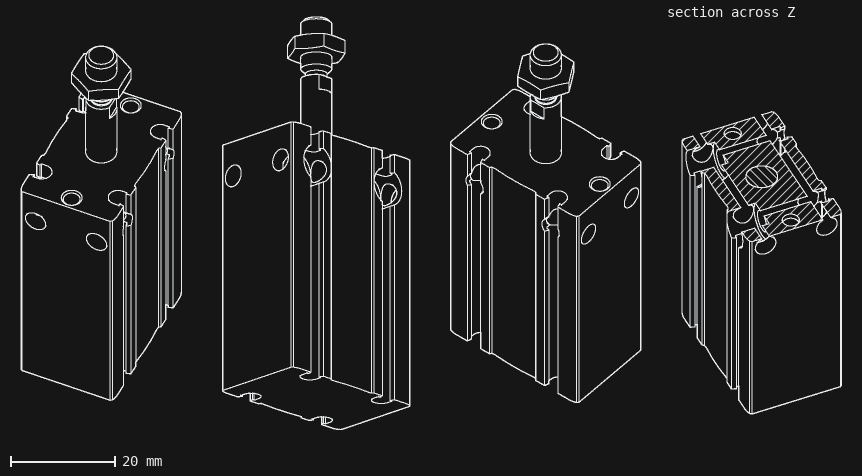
import cadquery as cq
import math

TOTAL_HEIGHT = 77.0
HOUSING_HEIGHT = 50.05

HALF_WIDTH = 10.0
HALF_LENGTH = 16.0
END_FLAT_X = 9.3
CORNER_X = 9.7
CORNER_Y = 15.7
FLANK_Y = 14.1
RELIEF_TOP_Y = 5.8
RELIEF_FOOT_X = 9.6
RELIEF_FOOT_Y = 5.5
CROWN_EDGE_X = 9.55
CROWN_EDGE_Y = 4.85
CROWN_MIDDLE_X = 9.8

SLOT_Y = 9.6
SLOT_WIDTH = 3.7
SLOT_BOTTOM_X = 6.15
SLOT_LIP_X = 9.1
SLOT_MOUTH_WIDTH = 3.3
SLOT_THROAT_WIDTH = 2.7

CROSS_HOLE_DIAMETER = 4.3
CROSS_HOLE_DROP = 7.0
CROSS_HOLE_Z = HOUSING_HEIGHT - CROSS_HOLE_DROP
END_HOLE_X = 6.5
SIDE_HOLE_Y = 9.5
COUNTERBORE_DIAMETER = 7.5
COUNTERBORE_DEPTH = 5.8

TAPPED_HOLE_Y = 13.5
TAPPED_HOLE_DIAMETER = 3.2
TAPPED_HOLE_MOUTH_DIAMETER = 4.0
TAPPED_HOLE_DEPTH = 6.0

ROD_DIAMETER = 6.0
ROD_TOP_Z = 65.1
ROD_INSERTION = 10.0
WRENCH_FLAT_WIDTH = 5.0
WRENCH_FLAT_HEIGHT = 3.0
SPIGOT_HEIGHT = 0.3

NECK_DIAMETER = 4.15
STUD_BOTTOM_Z = ROD_TOP_Z + SPIGOT_HEIGHT
NECK_TOP_Z = 66.2
TAPER_TOP_Z = 67.15
STUD_CHAMFER = 0.6

NUT_WIDTH = 10.0
NUT_THICKNESS = 3.15
NUT_BOTTOM_Z = 69.6
NUT_FACE_DIAMETER = 9.0
NUT_CORNER_DROP = 0.3


def make_profile():
    """Housing section without slots: the +X half is drawn and mirrored."""
    flank_rise = CORNER_Y - FLANK_Y
    flank_sag = HALF_WIDTH - CORNER_X
    flank_radius = (flank_rise**2 + flank_sag**2) / (2 * flank_sag)
    middle_angle = math.asin(flank_rise / flank_radius) / 2
    flank_mid = (
        HALF_WIDTH - flank_radius * (1 - math.cos(middle_angle)),
        FLANK_Y + flank_radius * math.sin(middle_angle),
    )
    return (
        cq.Workplane("XY")
        .moveTo(0, HALF_LENGTH)
        .lineTo(END_FLAT_X, HALF_LENGTH)
        .lineTo(CORNER_X, CORNER_Y)
        .threePointArc(flank_mid, (HALF_WIDTH, FLANK_Y))
        .lineTo(HALF_WIDTH, RELIEF_TOP_Y)
        .lineTo(RELIEF_FOOT_X, RELIEF_FOOT_Y)
        .lineTo(CROWN_EDGE_X, CROWN_EDGE_Y)
        .threePointArc((CROWN_MIDDLE_X, 0), (CROWN_EDGE_X, -CROWN_EDGE_Y))
        .lineTo(RELIEF_FOOT_X, -RELIEF_FOOT_Y)
        .lineTo(HALF_WIDTH, -RELIEF_TOP_Y)
        .lineTo(HALF_WIDTH, -FLANK_Y)
        .threePointArc((flank_mid[0], -flank_mid[1]), (CORNER_X, -CORNER_Y))
        .lineTo(END_FLAT_X, -HALF_LENGTH)
        .lineTo(0, -HALF_LENGTH)
        .mirrorY()
    )


def make_slot_cutter(side_x, side_y):
    """Round-bottomed slot with a lipped, flared mouth, along the full housing height."""
    half_slot = SLOT_WIDTH / 2
    half_throat = SLOT_THROAT_WIDTH / 2
    half_mouth = SLOT_MOUTH_WIDTH / 2
    outline = (
        cq.Workplane("XY")
        .moveTo(side_x * HALF_WIDTH, side_y * SLOT_Y + half_mouth)
        .lineTo(side_x * SLOT_LIP_X, side_y * SLOT_Y + half_throat)
        .lineTo(side_x * SLOT_LIP_X, side_y * SLOT_Y + half_slot)
        .lineTo(side_x * (SLOT_BOTTOM_X + half_slot), side_y * SLOT_Y + half_slot)
        .threePointArc(
            (side_x * SLOT_BOTTOM_X, side_y * SLOT_Y),
            (side_x * (SLOT_BOTTOM_X + half_slot), side_y * SLOT_Y - half_slot),
        )
        .lineTo(side_x * SLOT_LIP_X, side_y * SLOT_Y - half_slot)
        .lineTo(side_x * SLOT_LIP_X, side_y * SLOT_Y - half_throat)
        .lineTo(side_x * HALF_WIDTH, side_y * SLOT_Y - half_mouth)
        .close()
    )
    return outline.extrude(HOUSING_HEIGHT)


def make_end_hole(x):
    """Plain hole through the housing along Y."""
    return (
        cq.Workplane("XZ", origin=(x, HALF_LENGTH, CROSS_HOLE_Z))
        .circle(CROSS_HOLE_DIAMETER / 2)
        .extrude(2 * HALF_LENGTH)
    )


def make_side_hole(y):
    """Hole through the housing along X, counterbored from the -X side."""
    plane = cq.Workplane("YZ", origin=(-HALF_WIDTH, y, CROSS_HOLE_Z))
    hole = plane.circle(CROSS_HOLE_DIAMETER / 2).extrude(2 * HALF_WIDTH)
    counterbore = plane.circle(COUNTERBORE_DIAMETER / 2).extrude(COUNTERBORE_DEPTH)
    return hole.union(counterbore)


def make_tapped_hole(y):
    """Blind hole in the top face with a 45 degree countersunk mouth."""
    mouth_radius = TAPPED_HOLE_MOUTH_DIAMETER / 2
    hole_radius = TAPPED_HOLE_DIAMETER / 2
    bottom_z = HOUSING_HEIGHT - TAPPED_HOLE_DEPTH
    return (
        cq.Workplane("XZ", origin=(0, y, 0))
        .moveTo(0, HOUSING_HEIGHT)
        .lineTo(mouth_radius, HOUSING_HEIGHT)
        .lineTo(hole_radius, HOUSING_HEIGHT - (mouth_radius - hole_radius))
        .lineTo(hole_radius, bottom_z)
        .lineTo(0, bottom_z)
        .close()
        .revolve(360, (0, 0, 0), (0, 1, 0))
    )


def make_rod_bore():
    """Blind bore in the top face that receives the rod."""
    return (
        cq.Workplane("XY", origin=(0, 0, HOUSING_HEIGHT - ROD_INSERTION))
        .circle(ROD_DIAMETER / 2)
        .extrude(ROD_INSERTION)
    )


def make_housing():
    housing = make_profile().extrude(HOUSING_HEIGHT)
    for side_y in (-1, 1):
        for side_x in (-1, 1):
            housing = housing.cut(make_slot_cutter(side_x, side_y))
        housing = housing.cut(make_end_hole(side_y * END_HOLE_X))
        housing = housing.cut(make_side_hole(side_y * SIDE_HOLE_Y))
        housing = housing.cut(make_tapped_hole(side_y * TAPPED_HOLE_Y))
    return housing.cut(make_rod_bore())


def make_rod():
    """Plain rod with two wrench flats and a short spigot at its upper end."""
    bottom_z = HOUSING_HEIGHT - ROD_INSERTION
    flats_z = ROD_TOP_Z - WRENCH_FLAT_HEIGHT
    shaft = (
        cq.Workplane("XY", origin=(0, 0, bottom_z))
        .circle(ROD_DIAMETER / 2)
        .extrude(flats_z - bottom_z)
    )
    flatted_end = (
        cq.Workplane("XY", origin=(0, 0, flats_z))
        .circle(ROD_DIAMETER / 2)
        .extrude(WRENCH_FLAT_HEIGHT)
        .intersect(
            cq.Workplane("XY", origin=(0, 0, flats_z))
            .rect(WRENCH_FLAT_WIDTH, ROD_DIAMETER)
            .extrude(WRENCH_FLAT_HEIGHT)
        )
    )
    spigot = (
        cq.Workplane("XY", origin=(0, 0, ROD_TOP_Z))
        .circle(NECK_DIAMETER / 2)
        .extrude(SPIGOT_HEIGHT)
    )
    return shaft.union(flatted_end).union(spigot)


def make_stud():
    """Turned rod end: neck, taper and chamfered cylinder."""
    radius = ROD_DIAMETER / 2
    neck_radius = NECK_DIAMETER / 2
    return (
        cq.Workplane("XZ")
        .moveTo(0, STUD_BOTTOM_Z)
        .lineTo(neck_radius, STUD_BOTTOM_Z)
        .lineTo(neck_radius, NECK_TOP_Z)
        .lineTo(radius, TAPER_TOP_Z)
        .lineTo(radius, TOTAL_HEIGHT - STUD_CHAMFER)
        .lineTo(radius - STUD_CHAMFER, TOTAL_HEIGHT)
        .lineTo(0, TOTAL_HEIGHT)
        .close()
        .revolve(360, (0, 0, 0), (0, 1, 0))
    )


def make_nut():
    """Hexagon nut, corners pointing along Y and bevelled on both faces."""
    corner_radius = NUT_WIDTH / math.sqrt(3)
    face_radius = NUT_FACE_DIAMETER / 2
    top_z = NUT_BOTTOM_Z + NUT_THICKNESS
    hexagon = (
        cq.Workplane("XY", origin=(0, 0, NUT_BOTTOM_Z))
        .transformed(rotate=(0, 0, 90))
        .polygon(6, 2 * corner_radius)
        .extrude(NUT_THICKNESS)
    )
    bevelled_ring = (
        cq.Workplane("XZ")
        .moveTo(ROD_DIAMETER / 2, NUT_BOTTOM_Z)
        .lineTo(face_radius, NUT_BOTTOM_Z)
        .lineTo(corner_radius, NUT_BOTTOM_Z + NUT_CORNER_DROP)
        .lineTo(corner_radius, top_z - NUT_CORNER_DROP)
        .lineTo(face_radius, top_z)
        .lineTo(ROD_DIAMETER / 2, top_z)
        .close()
        .revolve(360, (0, 0, 0), (0, 1, 0))
    )
    return hexagon.intersect(bevelled_ring)


housing = make_housing()
rod = make_rod()
stud = make_stud()
nut = make_nut()

result = cq.Compound.makeCompound([housing.val(), rod.val(), stud.val(), nut.val()])